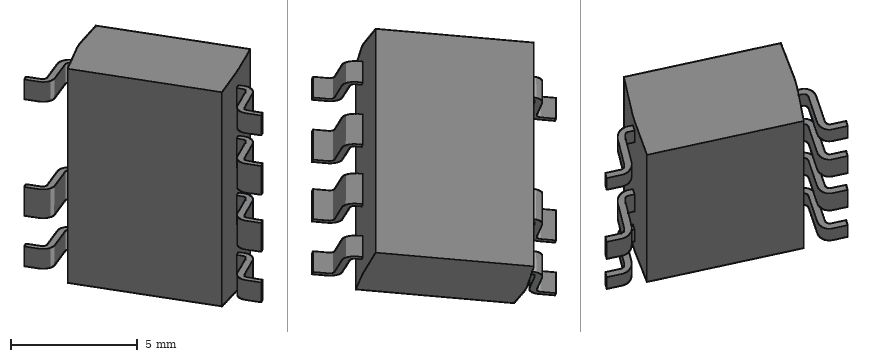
import cadquery as cq
import math


body_width = 6.6
body_length = 9.85
body_front = 0.29
band_front = 1.86
band_back = 2.21
body_back = 4.0
draft_inset = 0.11

lead_span = 9.8
lead_thickness = 0.25
lead_back = band_front + lead_thickness
leg_thickness = 0.31
leg_lean = 2.0
shoulder_corner = 3.72
outer_bend_radius = 0.5
inner_bend_radius = 0.2
root_embed = 0.1

narrow_lead_width = 0.9
wide_lead_width = 1.3
narrow_lead_offset = 3.75
wide_lead_offset = 1.28

bottom_narrow = (-narrow_lead_offset, narrow_lead_width)
bottom_wide = (-wide_lead_offset, wide_lead_width)
top_wide = (wide_lead_offset, wide_lead_width)
top_narrow = (narrow_lead_offset, narrow_lead_width)
leads_by_side = {
    1: [bottom_narrow, bottom_wide, top_wide, top_narrow],
    -1: [bottom_narrow, bottom_wide, top_narrow],
}


def section(y, inset):
    """Rectangular body outline at height y, shrunk by inset on every side."""
    width = body_width - 2 * inset
    length = body_length - 2 * inset
    return cq.Wire.makePolygon(
        [
            cq.Vector(-width / 2, y, -length / 2),
            cq.Vector(width / 2, y, -length / 2),
            cq.Vector(width / 2, y, length / 2),
            cq.Vector(-width / 2, y, length / 2),
        ],
        close=True,
    )


def make_body():
    sections = [
        section(body_front, draft_inset),
        section(band_front, 0),
        section(band_back, 0),
        section(body_back, draft_inset),
    ]
    return cq.Workplane(cq.Solid.makeLoft(sections, True))


def make_lead(side, z_center, width):
    """One bent lead on the +X (side = 1) or -X (side = -1) edge of the body."""
    shoulder_front = band_front
    lean = math.tan(math.radians(leg_lean))

    def inner_face(y):
        return shoulder_corner + (shoulder_front - y) * lean

    def outer_face(y):
        return inner_face(y) + leg_thickness

    root = body_width / 2 - root_embed
    toe = lead_span / 2
    outline = [
        (root, shoulder_front),
        (inner_face(shoulder_front), shoulder_front),
        (inner_face(0), 0),
        (toe, 0),
        (toe, lead_thickness),
        (outer_face(lead_thickness), lead_thickness),
        (outer_face(lead_back), lead_back),
        (root, lead_back),
    ]
    inner_corners = [outline[1], outline[5]]
    outer_corners = [outline[2], outline[6]]

    lead = cq.Workplane("XY").polyline(outline).close().extrude(width / 2, both=True)
    for corners, radius in ((inner_corners, inner_bend_radius), (outer_corners, outer_bend_radius)):
        for x, y in corners:
            lead = lead.edges(cq.selectors.NearestToPointSelector((x, y, 0))).fillet(radius)
    if side < 0:
        lead = lead.mirror("YZ")
    return lead.translate((0, 0, z_center))


result = make_body()
for side, leads in leads_by_side.items():
    for z_center, width in leads:
        result = result.union(make_lead(side, z_center, width))